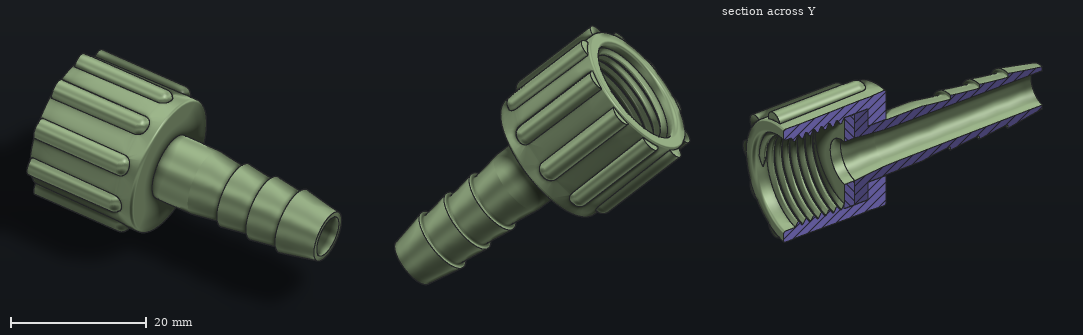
import cadquery as cq
import math

TOTAL_LENGTH = 45.2
X_AXIS = cq.Vector(1, 0, 0)

NUT_LENGTH = 18.0
NUT_MOUTH_RADIUS = 10.45
NUT_REAR_RADIUS = 10.65
NUT_MOUTH_FILLET = 0.4
NUT_REAR_FILLET = 0.5
BORE_RADIUS = 8.3
BORE_MOUTH_FILLET = 0.55

RIB_COUNT = 10
RIB_RADIUS = 1.65
RIB_TIP_RADIUS = 11.8
RIB_CENTRE_RADIUS = RIB_TIP_RADIUS - RIB_RADIUS
RIB_START = 0.45
RIB_STRAIGHT_END = 14.75
RIB_END_FILLET = 1.4

WASHER_FACE = 10.65
WASHER_THICKNESS = 1.8
WASHER_REAR = WASHER_FACE + WASHER_THICKNESS

THREAD_CREST_RADIUS = 7.45
THREAD_CREST_ROUNDING = 0.23
THREAD_FLANK_ANGLE = 27.5
THREAD_START = 1.65
THREAD_TURNS = 6.7
THREAD_PITCH = (WASHER_FACE - THREAD_START) / THREAD_TURNS
THREAD_ROOT_OVERLAP = 0.1
LEAD_IN_ANGLE = 14.0
LEAD_IN_TIP_SCALE = 0.1

FLANGE_THICKNESS = 2.25
FLANGE_REAR = WASHER_REAR + FLANGE_THICKNESS
SHANK_RADIUS = 5.1
SHANK_END = 24.2
BARB_PITCH = 5.0
BARB_COUNT = 3
FIRST_BARB = 29.15
BARB_ROOT_RADIUS = 4.45
BARB_NECK_LENGTH = 0.3
BARB_NECK_FILLET = 0.2
TAIL_TIP_RADIUS = 3.95

PORT_RADIUS = 3.9
PORT_THROAT_RADIUS = 3.3
PORT_THROAT = NUT_LENGTH
PORT_TIP_RADIUS = 3.1


def revolve_about_x(profile):
    """Turn a closed (x, radius) outline around the X axis."""
    return profile.close().revolve(360, (0, 0, 0), (1, 0, 0))


def thread_section(scale=1.0):
    """Ridge section in the XY plane with a rounded crest, its size above the bore set by `scale`."""
    flank = math.radians(THREAD_FLANK_ANGLE)
    rounding = THREAD_CREST_ROUNDING * scale
    root = BORE_RADIUS + THREAD_ROOT_OVERLAP
    crest = BORE_RADIUS - (BORE_RADIUS - THREAD_CREST_RADIUS) * scale
    shoulder = crest + rounding * (1 - math.sin(flank))
    half_shoulder = rounding * math.cos(flank)
    half_root = half_shoulder + (root - shoulder) * math.tan(flank)
    return (
        cq.Workplane("XY", origin=(THREAD_START, 0, 0))
        .moveTo(-half_root, root)
        .lineTo(-half_shoulder, shoulder)
        .threePointArc((0, crest), (half_shoulder, shoulder))
        .lineTo(half_root, root)
        .close()
    )


def make_thread_helix():
    """Right-handed helix along the bore, starting at +Y and running past the washer face."""
    length = WASHER_FACE + THREAD_PITCH - THREAD_START
    helix = cq.Wire.makeHelix(THREAD_PITCH, length, BORE_RADIUS, dir=cq.Vector(1, 0, 0))
    start = helix.startPoint()
    start_angle = math.degrees(math.atan2(start.z, start.y))
    helix = helix.rotate(cq.Vector(0, 0, 0), X_AXIS, -start_angle)
    return cq.Workplane(obj=helix.translate(X_AXIS * THREAD_START))


def make_thread_ridge():
    """Ridge swept along the helix and cut off flat at the washer face."""
    ridge = thread_section().sweep(make_thread_helix(), isFrenet=True)
    beyond_thread = cq.Workplane("YZ", origin=(WASHER_FACE, 0, 0)).circle(NUT_REAR_RADIUS)
    beyond_thread = beyond_thread.extrude(NUT_LENGTH)
    return ridge.cut(beyond_thread)


def make_thread_lead_in():
    """Tapered tail that fades the start of the ridge into the bore."""
    advance = THREAD_PITCH * LEAD_IN_ANGLE / 360
    tip = thread_section(LEAD_IN_TIP_SCALE).wire().val()
    tip = tip.rotate(cq.Vector(0, 0, 0), X_AXIS, -LEAD_IN_ANGLE).translate(X_AXIS * -advance)
    return cq.Workplane(obj=cq.Solid.makeLoft([thread_section().wire().val(), tip], True))


def make_rib():
    """One rib on the +Y side of the nut with a rounded rear end."""
    bar = cq.Workplane("YZ", origin=(RIB_START, RIB_CENTRE_RADIUS, 0)).circle(RIB_RADIUS)
    bar = bar.extrude(RIB_STRAIGHT_END + RIB_END_FILLET - RIB_START)
    return bar.faces(">X").edges().fillet(RIB_END_FILLET)


def make_nut():
    """Slightly tapered, ribbed nut with a threaded bore and an end wall around the shank."""
    body = revolve_about_x(
        cq.Workplane("XY")
        .moveTo(0, 0)
        .lineTo(0, NUT_MOUTH_RADIUS)
        .lineTo(NUT_LENGTH, NUT_REAR_RADIUS)
        .lineTo(NUT_LENGTH, 0)
    )
    body = body.faces("<X").edges().fillet(NUT_MOUTH_FILLET)
    body = body.faces(">X").edges().fillet(NUT_REAR_FILLET)
    for index in range(RIB_COUNT):
        body = body.union(make_rib().rotate((0, 0, 0), (1, 0, 0), index * 360 / RIB_COUNT))
    bore = cq.Workplane("YZ").circle(BORE_RADIUS).extrude(FLANGE_REAR)
    shank_hole = cq.Workplane("YZ").circle(SHANK_RADIUS).extrude(NUT_LENGTH)
    body = body.cut(bore).cut(shank_hole)
    body = body.faces("<X").edges(cq.selectors.RadiusNthSelector(0)).fillet(BORE_MOUTH_FILLET)
    return body.union(make_thread_ridge()).union(make_thread_lead_in())


def make_washer():
    """Flat ring filling the bore behind the thread."""
    return (
        cq.Workplane("YZ", origin=(WASHER_FACE, 0, 0))
        .circle(BORE_RADIUS)
        .circle(PORT_RADIUS)
        .extrude(WASHER_THICKNESS)
    )


def make_tail():
    """Flange, plain shank and barbs around a bore that narrows towards the tip."""
    outline = cq.Workplane("XY").moveTo(WASHER_REAR, PORT_RADIUS).lineTo(WASHER_REAR, BORE_RADIUS)
    outline = outline.lineTo(FLANGE_REAR, BORE_RADIUS).lineTo(FLANGE_REAR, SHANK_RADIUS)
    outline = outline.lineTo(SHANK_END, SHANK_RADIUS)
    for index in range(BARB_COUNT):
        peak = FIRST_BARB + index * BARB_PITCH
        outline = outline.lineTo(peak - BARB_NECK_LENGTH, BARB_ROOT_RADIUS)
        outline = outline.lineTo(peak - BARB_NECK_FILLET, BARB_ROOT_RADIUS)
        outline = outline.radiusArc((peak, BARB_ROOT_RADIUS + BARB_NECK_FILLET), -BARB_NECK_FILLET)
        outline = outline.lineTo(peak, SHANK_RADIUS)
    outline = outline.lineTo(TOTAL_LENGTH, TAIL_TIP_RADIUS).lineTo(TOTAL_LENGTH, PORT_TIP_RADIUS)
    return revolve_about_x(outline.lineTo(PORT_THROAT, PORT_THROAT_RADIUS))


nut = make_nut()
washer = make_washer()
tail = make_tail()
result = cq.Compound.makeCompound([nut.val(), washer.val(), tail.val()])